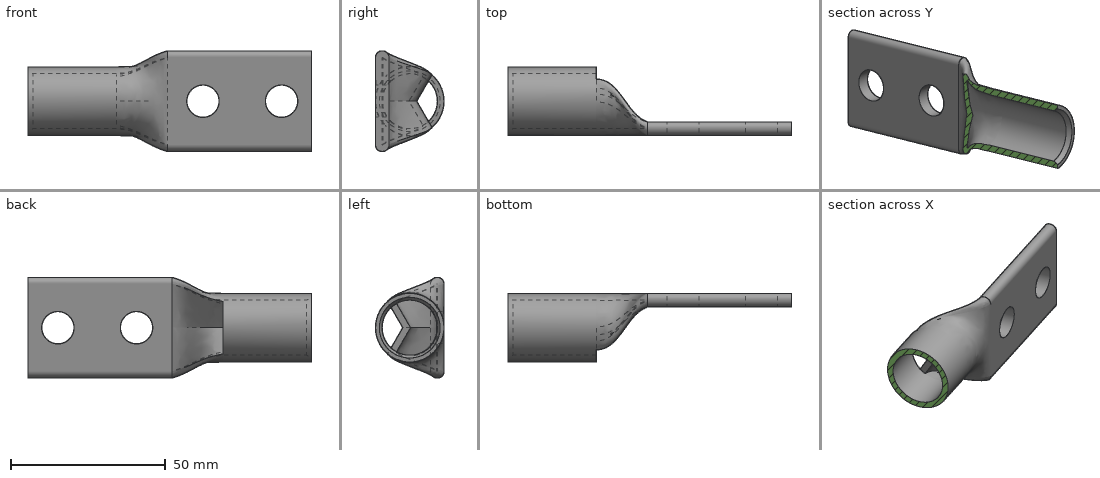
import cadquery as cq
import math

total_length = 91.7
barrel_length = 28.6
tongue_start = 45.1

barrel_radius = 11.1
bore_radius = 8.9
mouth_radius = 9.8
mouth_chamfer_depth = 1.65
wall = barrel_radius - bore_radius

tongue_width = 32.55
tongue_thickness = 4.4
tongue_edge_radius = 2.1
hole_diameter = 10.4
hole_positions = (56.6, 82.0)

crease_y = 13.4
crease_angle = math.radians(60)
shoulder_y = 15.3
neck_steps = 4
depth_delay = 1.2
width_straightness = 0.5
cavity_end_gap = 0.2
cavity_end_half_width = tongue_width / 2 - wall


def blend(start, end, share):
    """Move a (Y, Z) point from start to end: an S-curve in depth, straighter in width."""
    delayed = share**depth_delay
    depth_share = delayed**2 * (3 - 2 * delayed)
    width_share = width_straightness * share + (1 - width_straightness) * depth_share
    y = start[0] + (end[0] - start[0]) * depth_share
    z = start[1] + (end[1] - start[1]) * width_share
    return (y, z)


def barrel_end_points(radius, crease):
    """Key (Y, Z) points of the upper half of a circle with a V cut into its back."""
    run, rise = math.cos(crease_angle), math.sin(crease_angle)
    offset = crease - barrel_radius
    reach = -offset * run + math.sqrt(radius**2 - (offset * rise) ** 2)
    corner_angle = math.atan2(rise * reach, offset + run * reach)
    shoulder_angle = math.acos((shoulder_y - barrel_radius) / barrel_radius)
    middle_angle = (corner_angle + shoulder_angle) / 2

    def on_circle(angle):
        return (barrel_radius + radius * math.cos(angle), radius * math.sin(angle))

    return [
        (barrel_radius - radius, 0),
        on_circle(shoulder_angle),
        on_circle(middle_angle),
        on_circle(corner_angle),
        (crease, 0),
    ]


def tongue_end_points(front, back, half_width, edge_radius):
    """Key (Y, Z) points of the upper half of a flat bar with rounded edges."""
    return [
        (front, 0),
        (front, half_width - edge_radius),
        ((front + back) / 2, half_width),
        (back, half_width - edge_radius),
        (back, 0),
    ]


def section_wire(x, points):
    """Close the key points and their mirror images into a section at X = x."""
    upper = [cq.Vector(x, y, z) for y, z in points]
    lower = [cq.Vector(x, y, -z) for y, z in points]
    front, shoulder, side, corner, crease = upper
    flat_front = abs(front.y - shoulder.y) < 9.17e-07
    if flat_front:
        front_edge = cq.Edge.makeLine(lower[1], shoulder)
    else:
        front_edge = cq.Edge.makeThreePointArc(lower[1], front, shoulder)
    return cq.Wire.assembleEdges([
        front_edge,
        cq.Edge.makeThreePointArc(shoulder, side, corner),
        cq.Edge.makeLine(corner, crease),
        cq.Edge.makeLine(crease, lower[3]),
        cq.Edge.makeThreePointArc(lower[3], lower[2], lower[1]),
    ])


def neck_loft(start_points, end_points):
    """Loft from the barrel to the tongue, easing the depth in and out."""
    wires = []
    for step in range(neck_steps + 1):
        share = step / neck_steps
        x = barrel_length + (tongue_start - barrel_length) * share
        points = [blend(a, b, share) for a, b in zip(start_points, end_points)]
        wires.append(section_wire(x, points))
    return cq.Workplane(cq.Solid.makeLoft(wires))


def make_barrel():
    """Solid barrel, with its front tangent to the tongue's front face."""
    return cq.Workplane("YZ").center(barrel_radius, 0).circle(barrel_radius).extrude(barrel_length)


def make_bore():
    """Through bore of the barrel with a conical lead-in at the mouth."""
    bore = cq.Workplane("YZ").center(barrel_radius, 0).circle(bore_radius).extrude(barrel_length)
    lead_in = cq.Solid.makeCone(
        mouth_radius, bore_radius, mouth_chamfer_depth, cq.Vector(0, barrel_radius, 0), cq.Vector(1, 0, 0)
    )
    return bore.union(cq.Workplane(lead_in))


def make_neck():
    """Solid neck narrowing in depth and widening towards the tongue."""
    return neck_loft(
        barrel_end_points(barrel_radius, crease_y),
        tongue_end_points(0, tongue_thickness, tongue_width / 2, tongue_edge_radius),
    )


def make_cavity():
    """Hollow of the neck, closing to a thin slit where the tongue starts."""
    crease_wall = wall / math.sin(crease_angle)
    return neck_loft(
        barrel_end_points(bore_radius, crease_y - crease_wall),
        tongue_end_points(wall, wall + cavity_end_gap, cavity_end_half_width, cavity_end_gap / 2),
    )


def make_tongue():
    """Flat tongue with rounded long edges and two bolt holes."""
    length = total_length - tongue_start
    tongue = (
        cq.Workplane("XY")
        .box(length, tongue_thickness, tongue_width, centered=(False, False, True))
        .edges("|X")
        .fillet(tongue_edge_radius)
        .translate((tongue_start, 0, 0))
    )
    holes = (
        cq.Workplane("XZ")
        .pushPoints([(x, 0) for x in hole_positions])
        .circle(hole_diameter / 2)
        .extrude(-tongue_thickness)
    )
    return tongue.cut(holes)


hollow_barrel = make_barrel().cut(make_bore())
hollow_neck = make_neck().cut(make_cavity())
result = hollow_barrel.union(hollow_neck).union(make_tongue())